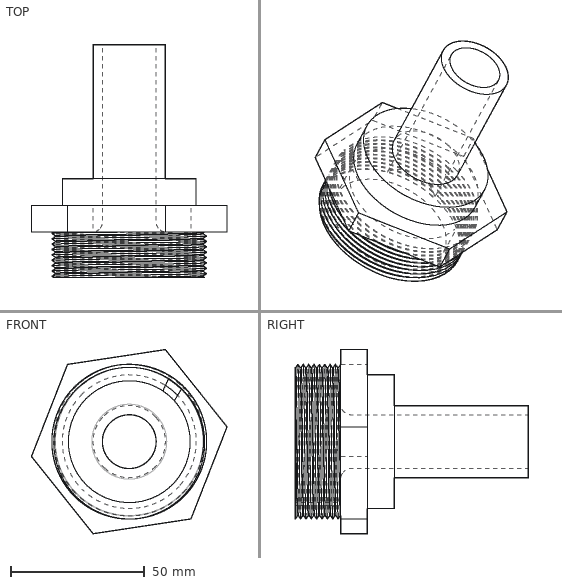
import cadquery as cq
import math


total_length = 87.0
thread_length = 17.0
hex_length = 10.0
collar_length = 10.0
pipe_length = total_length - thread_length - hex_length - collar_length

thread_crest_diameter = 57.85
thread_root_diameter = 55.5
thread_pitch = 2.0
thread_start_angle = 90.0
hex_across_flats = 64.0
hex_turn = -8.6
collar_diameter = 50.0
pipe_diameter = 27.0

socket_diameter = 45.5
bore_diameter = 20.0
bore_mouth_radius = 4.0

ridge_overlap = 0.2
ridge_base_width = 0.9 * thread_pitch

hex_start = thread_length
collar_start = hex_start + hex_length
pipe_start = collar_start + collar_length

thread_end = thread_length + thread_pitch / 4


def cylinder(diameter, start, length):
    """Solid cylinder on the Z axis, beginning at height start."""
    return cq.Workplane("XY").workplane(offset=start).circle(diameter / 2).extrude(length)


def thread_ridge():
    """Right-handed triangular ridge, trimmed at the open end and inside the hexagon."""
    root = thread_root_diameter / 2
    crest = thread_crest_diameter / 2
    base = root - ridge_overlap
    half_width = ridge_base_width / 2
    helix = cq.Wire.makeHelix(thread_pitch, thread_length + 2 * thread_pitch, root)
    ridge = (
        cq.Workplane("XZ")
        .polyline([(base, -half_width), (crest, 0), (base, half_width)])
        .close()
        .sweep(cq.Workplane(helix), isFrenet=True)
        .translate((0, 0, -thread_pitch))
        .rotate((0, 0, 0), (0, 0, 1), thread_start_angle)
    )
    trim = cylinder(hex_across_flats, 0, thread_end)
    return ridge.intersect(trim, clean=False)


def threaded_sleeve():
    sleeve = (
        cq.Workplane("XY")
        .circle(thread_root_diameter / 2)
        .circle(socket_diameter / 2)
        .extrude(thread_end)
    )
    return sleeve.union(thread_ridge(), clean=False)


def hexagon():
    corner_diameter = hex_across_flats / math.cos(math.pi / 6)
    return (
        cq.Workplane("XY")
        .workplane(offset=hex_start)
        .polygon(6, corner_diameter)
        .extrude(hex_length)
        .rotate((0, 0, 0), (0, 0, 1), hex_turn)
    )


def bore():
    """Through bore with a convex rounded mouth at the socket floor."""
    bore_radius = bore_diameter / 2
    mouth_radius = bore_radius + bore_mouth_radius
    arc_offset = bore_mouth_radius * (1 - math.sqrt(0.5))
    return (
        cq.Workplane("XZ")
        .moveTo(0, hex_start)
        .lineTo(mouth_radius, hex_start)
        .threePointArc(
            (bore_radius + arc_offset, hex_start + arc_offset),
            (bore_radius, hex_start + bore_mouth_radius),
        )
        .lineTo(bore_radius, total_length)
        .lineTo(0, total_length)
        .close()
        .revolve(360, (0, 0, 0), (0, 1, 0))
    )


rear_body = (
    hexagon()
    .union(cylinder(collar_diameter, collar_start, collar_length))
    .union(cylinder(pipe_diameter, pipe_start, pipe_length))
    .cut(bore())
)
body = rear_body.union(threaded_sleeve(), clean=False)

result = body.rotate((0, 0, 0), (1, 0, 0), -90)